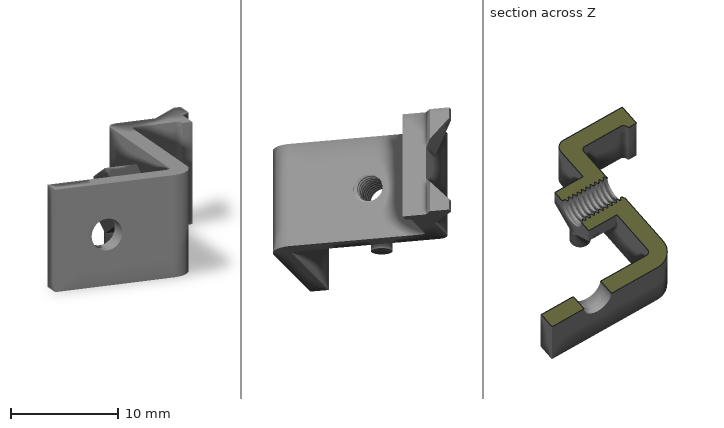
import cadquery as cq
import math


length_x = 19.76
length_y = 21.12
height = 10.0
thickness = 1.8

arm_outer_x = 2.45
arm_inner_x = arm_outer_x + thickness
web_back_y = -6.8
web_front_y = web_back_y - thickness
leg_inner_x = length_x - thickness

leg_bend_inner_radius = 0.5
arm_bend_inner_radius = 0.4
arm_bend_outer_radius = 1.0
leg_bend_outer_radius = leg_bend_inner_radius + thickness

prong_tip_width = 1.87
prong_tip_depth = 0.7
prong_root_y = -3.62
catch_top_y = -0.86
catch_left_x = 2.5
catch_right_x = 4.8
catch_depth = 0.95
catch_root_drop = 0.4
catch_root_radius = 0.6

notch_floor_half_height = 1.5
notch_mouth_half_height = notch_floor_half_height + arm_outer_x

leg_hole_diameter = 3.1
leg_hole_from_end = 5.25

boss_x = 9.76
boss_across_flats = 5.54
boss_across_corners = boss_across_flats / math.cos(math.radians(30))
boss_length = 3.22
boss_front_y = web_front_y - boss_length

thread_minor_diameter = 2.52
thread_major_diameter = 3.1
thread_pitch = 0.5
thread_root_flat = thread_pitch / 8
thread_crest_gap = thread_pitch * 3 / 4
thread_overlap = 0.1
mouth_diameter = 3.2

pin_diameter = 2.0
pin_overlap = 0.02
pin_y = boss_front_y + pin_diameter / 2
pin_length = (height - boss_across_corners) / 2 + pin_overlap


def make_strip():
    """Bent strip with its prong and catch, extruded over the full height."""
    catch_bottom_y = catch_top_y - catch_depth
    catch_root_y = catch_bottom_y - catch_root_drop
    outline = (
        cq.Workplane("XY", origin=(0, 0, -height / 2))
        .moveTo(0, 0)
        .lineTo(prong_tip_width, 0)
        .lineTo(catch_left_x, catch_top_y)
        .lineTo(catch_right_x, catch_top_y)
        .lineTo(catch_right_x, catch_bottom_y)
        .radiusArc((arm_inner_x, catch_root_y), -catch_root_radius)
        .lineTo(arm_inner_x, web_back_y)
        .lineTo(length_x, web_back_y)
        .lineTo(length_x, -length_y)
        .lineTo(leg_inner_x, -length_y)
        .lineTo(leg_inner_x, web_front_y)
        .lineTo(arm_outer_x, web_front_y)
        .lineTo(arm_outer_x, prong_root_y)
        .lineTo(0, -prong_tip_depth)
        .close()
    )
    strip = outline.extrude(height)
    bends = [
        (arm_inner_x, web_back_y, arm_bend_inner_radius),
        (arm_outer_x, web_front_y, arm_bend_outer_radius),
        (leg_inner_x, web_front_y, leg_bend_inner_radius),
        (length_x, web_back_y, leg_bend_outer_radius),
    ]
    for x, y, radius in bends:
        corner = cq.selectors.NearestToPointSelector((x, y, 0))
        strip = strip.edges("|Z").edges(corner).fillet(radius)
    return strip


def make_notch():
    """Trapezoid cutter that splits the free end into an upper and a lower prong."""
    return (
        cq.Workplane("XZ")
        .moveTo(0, -notch_mouth_half_height)
        .lineTo(arm_outer_x, -notch_floor_half_height)
        .lineTo(arm_outer_x, notch_floor_half_height)
        .lineTo(0, notch_mouth_half_height)
        .close()
        .extrude(-web_front_y)
    )


def make_leg_hole():
    """Cutter for the round hole through the leg."""
    hole_y = leg_hole_from_end - length_y
    return (
        cq.Workplane("YZ", origin=(leg_inner_x, hole_y, 0))
        .circle(leg_hole_diameter / 2)
        .extrude(thickness)
    )


def make_boss():
    """Hexagonal boss on the front of the web, with corners pointing up and down."""
    return (
        cq.Workplane("XZ", origin=(boss_x, web_front_y, 0))
        .transformed(rotate=(0, 0, 90))
        .polygon(6, boss_across_corners)
        .extrude(boss_length)
    )


def make_pin():
    """Round pin from the lower edge of the strip up to the lowest boss corner."""
    return (
        cq.Workplane("XY", origin=(boss_x, pin_y, -height / 2))
        .circle(pin_diameter / 2)
        .extrude(pin_length)
    )


def make_thread_groove(depth):
    """Helical V groove around +Z, running one pitch past each end of the given depth."""
    inner_radius = thread_minor_diameter / 2 - thread_overlap
    outer_radius = thread_major_diameter / 2
    helix = cq.Wire.makeHelix(thread_pitch, depth + 2 * thread_pitch, inner_radius)
    profile = (
        cq.Workplane("XZ", origin=(inner_radius, 0, 0))
        .moveTo(0, -thread_crest_gap / 2)
        .lineTo(outer_radius - inner_radius, -thread_root_flat / 2)
        .lineTo(outer_radius - inner_radius, thread_root_flat / 2)
        .lineTo(0, thread_crest_gap / 2)
        .close()
    )
    groove = profile.sweep(cq.Workplane(obj=helix), isFrenet=True)
    return groove.translate((0, 0, -thread_pitch))


def cut_threaded_hole(body):
    """Cut the bore, its mouth chamfer and the thread through boss and web."""
    depth = boss_length + thickness
    mouth_chamfer = (mouth_diameter - thread_minor_diameter) / 2
    mouth = cq.Solid.makeCone(
        mouth_diameter / 2, thread_minor_diameter / 2, mouth_chamfer
    )
    bore = cq.Workplane("XY").circle(thread_minor_diameter / 2).extrude(depth)
    for cutter in (make_thread_groove(depth), bore, cq.Workplane(obj=mouth)):
        placed = cutter.rotate((0, 0, 0), (1, 0, 0), -90).translate((boss_x, boss_front_y, 0))
        body = body.cut(placed)
    return body


bracket = make_strip().cut(make_notch()).cut(make_leg_hole())
bracket = bracket.union(make_boss()).union(make_pin())
result = cut_threaded_hole(bracket)